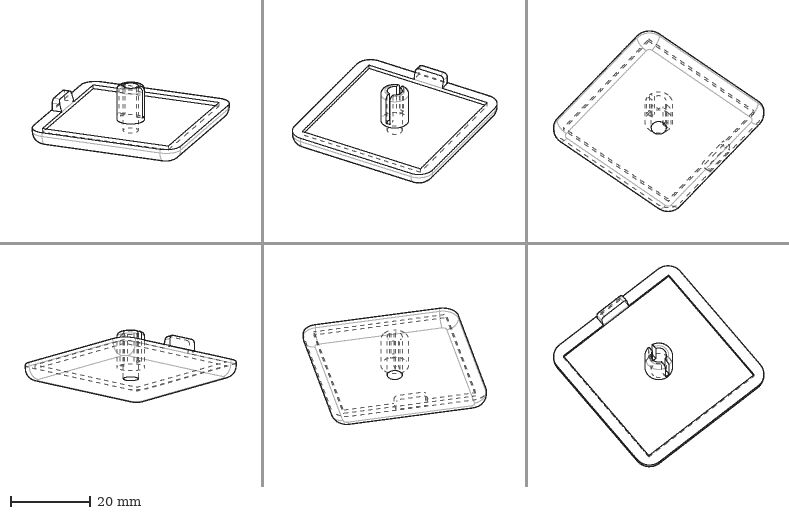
import cadquery as cq

side = 40
plate_height = 4
corner_radius = 4
bottom_round = 3.0

rim_width = 2.9
recess_depth = 1.0
recess_side = side - 2 * rim_width
floor_z = plate_height - recess_depth

total_height = 12
post_diameter = 7.0
bore_diameter = 3.8
post_round = 1.0
slot_width = 1.1

tab_setback = 0.3
tab_height = 3.0
tab_top_thickness = 1.7
tab_length = 8.2
tab_round = 1.0


def make_plate():
    """Rounded square plate with a rounded lower edge and a recessed top."""
    plate = cq.Workplane("XY").rect(side, side).extrude(plate_height)
    plate = plate.edges("|Z").fillet(corner_radius)
    plate = plate.faces("<Z").edges().fillet(bottom_round)
    recess = cq.Workplane("XY", origin=(0, 0, floor_z)).rect(recess_side, recess_side).extrude(recess_depth)
    return plate.cut(recess)


def make_post():
    """Round post with a rounded top, standing on the recess floor."""
    post = cq.Workplane("XY").circle(post_diameter / 2).extrude(total_height)
    post = post.faces(">Z").edges().fillet(post_round)
    above_floor = cq.Workplane("XY", origin=(0, 0, floor_z)).rect(side, side).extrude(total_height)
    return post.intersect(above_floor)


def make_slot():
    """Slot along X that splits the post down to the level of the plate top."""
    slot = cq.Workplane("XY", origin=(0, 0, plate_height)).rect(post_diameter, slot_width)
    return slot.extrude(total_height - plate_height)


def make_tab():
    """Upright tab with a sloped inner face and rounded upper ends."""
    outer_x = -side / 2 + tab_setback
    inner_x = -side / 2 + rim_width
    tab_top = plate_height + tab_height
    profile = [
        (outer_x, plate_height),
        (inner_x, plate_height),
        (outer_x + tab_top_thickness, tab_top),
        (outer_x, tab_top),
    ]
    tab = cq.Workplane("XZ").polyline(profile).close().extrude(tab_length / 2, both=True)
    return tab.faces(">Z").edges("|X").fillet(tab_round)


bore = cq.Workplane("XY").circle(bore_diameter / 2).extrude(total_height)

result = make_plate().union(make_post()).cut(make_slot()).cut(bore).union(make_tab())